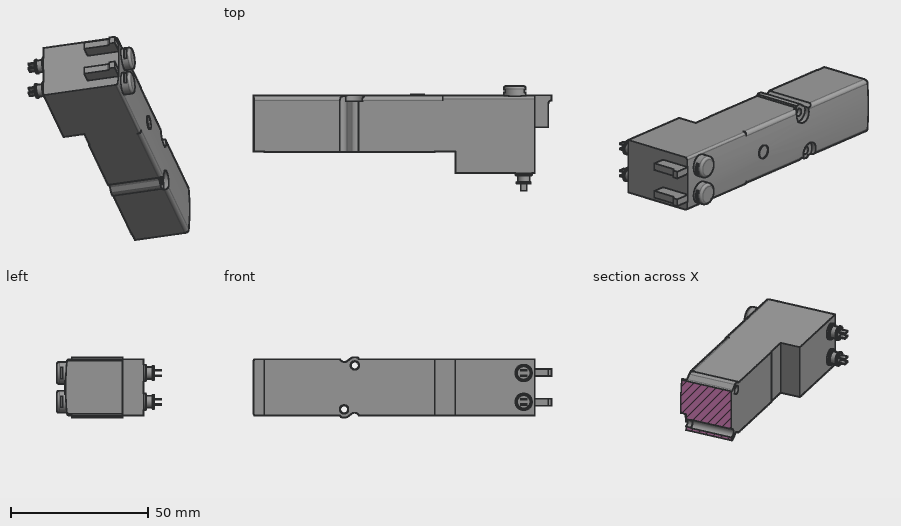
import math

import cadquery as cq


body_length = 102.45
body_height = 20.5
half_height = body_height / 2
front_face_y = 0.2
crown_y = 20.78
crown_drop = 0.5
valve_length = 68.85
valve_rounding = 1.5
foot_rounding = 0.9
end_chamfer_x = 0.35
end_chamfer_z = 0.65

plate_start = 4.0
plate_end = 65.9
foot_start = 73.45
foot_face_y = -7.6

boss_x = 36.9
notch_x = 33.0
boss_center_z = 8.0
boss_radius = 3.05
boss_top_z = 11.045
boss_crest_end = 1.2
boss_half_width = 1.5
notch_floor_z = 9.28
notch_arc_end = 0.9
notch_arc_end_z = 9.45
seat_y = 18.6
seat_diameter = 7.0
screw_hole_diameter = 2.8
screw_relief_diameter = 3.2
seat_thickness = 2.0

connector_x = 98.35
connector_z = 5.25
collar_diameter = 6.1
collar_length = 1.0
collar_chamfer = 0.3
barrel_diameter = 4.5
barrel_end_y = -10.75
rim_diameter = 5.3
rim_end_y = -11.55
rim_chamfer = 0.25
prong_tip_y = -14.09
prong_width = 2.3
prong_thickness = 0.4
prong_spacing = 1.96

fitting_x = 95.1
fitting_diameter = 8.1
fitting_top_y = 24.1
fitting_rounding = 1.0
groove_flat = 3.5
groove_bottom_y = 21.75
groove_top_y = 22.65

pad_x = 59.75
pad_diameter = 5.0
pad_top_y = 21.1

overall_length = 108.5
hook_shank_end = 107.35
hook_front_y = 9.0
hook_barb_y = 18.75
hook_inner_z = 4.07
hook_outer_z = 6.7

overlap = 1.0


def block(x, y, z):
    """Box from (low, high) pairs along each axis."""
    size = (x[1] - x[0], y[1] - y[0], z[1] - z[0])
    return cq.Workplane("XY").box(*size, centered=False).translate((x[0], y[0], z[0]))


def cylinder(x, z, diameter, y_low, y_high):
    """Cylinder along Y."""
    axis_start = cq.Vector(x, y_low, z)
    return cq.Workplane(cq.Solid.makeCylinder(diameter / 2, y_high - y_low, axis_start, cq.Vector(0, 1, 0)))


def arched_bar(x_low, x_high, rounding):
    """Bar along X with an arched back whose two long edges are rounded."""
    edge_y = crown_y - crown_drop
    bar = (
        cq.Workplane("YZ", origin=(x_low, 0, 0))
        .moveTo(front_face_y, -half_height)
        .lineTo(edge_y, -half_height)
        .threePointArc((crown_y, 0), (edge_y, half_height))
        .lineTo(front_face_y, half_height)
        .close()
        .extrude(x_high - x_low)
    )
    back_edges = cq.selectors.BoxSelector(
        (x_low - overlap, edge_y - overlap, -body_height),
        (x_high + overlap, edge_y + overlap, body_height),
    )
    return bar.edges("|X").edges(back_edges).fillet(rounding)


def end_chamfer(side):
    """Wedge that bevels the upper (side=1) or lower (side=-1) edge of the left end."""
    return (
        cq.Workplane("XZ", origin=(0, crown_y + overlap, 0))
        .moveTo(0, side * (half_height - end_chamfer_z))
        .lineTo(0, side * half_height)
        .lineTo(end_chamfer_x, side * half_height)
        .close()
        .extrude(crown_y + 2 * overlap)
    )


def body():
    valve = arched_bar(0, valve_length, valve_rounding)
    base = arched_bar(valve_length, body_length, foot_rounding)
    full_z = (-half_height, half_height)
    plate = block((plate_start, plate_end), (0, front_face_y + overlap), full_z)
    foot = block((foot_start, body_length), (foot_face_y, front_face_y + overlap), full_z)
    shape = valve.union(base).union(plate).union(foot)
    for side in (1, -1):
        shape = shape.cut(end_chamfer(side))
    return shape


def boss_arc_z(offset):
    return boss_center_z + math.sqrt(boss_radius**2 - offset**2)


def notch():
    """Upper notch, from its left end to where its slope leaves the body."""
    slope_start = (notch_x + notch_arc_end, notch_arc_end_z)
    slope_end = (boss_x - boss_crest_end, boss_arc_z(boss_crest_end))
    rise = (slope_end[1] - slope_start[1]) / (slope_end[0] - slope_start[0])
    exit_x = slope_start[0] + (half_height - slope_start[1]) / rise
    return (
        cq.Workplane("XZ", origin=(0, crown_y + overlap, 0))
        .moveTo(notch_x - boss_half_width, half_height)
        .threePointArc((notch_x, notch_floor_z), slope_start)
        .lineTo(exit_x, half_height)
        .close()
        .extrude(crown_y + 2 * overlap)
    )


def boss():
    """Upper boss, sharing the slope of the notch beside it."""
    crest_end_z = boss_arc_z(boss_crest_end)
    return (
        cq.Workplane("XZ", origin=(0, seat_y, 0))
        .moveTo(notch_x + notch_arc_end, notch_arc_end_z)
        .lineTo(boss_x - boss_crest_end, crest_end_z)
        .threePointArc((boss_x, boss_top_z), (boss_x + boss_crest_end, crest_end_z))
        .lineTo(boss_x + boss_half_width, half_height)
        .lineTo(boss_x + boss_half_width, notch_arc_end_z)
        .close()
        .extrude(seat_y)
    )


def mirrored_pair(shape):
    """The shape and its copy half a turn about the axis midway between boss and notch."""
    middle = (boss_x + notch_x) / 2
    return shape, shape.rotate((middle, 0, 0), (middle, 1, 0), 180)


def add_mounting(shape):
    for tool in mirrored_pair(notch()):
        shape = shape.cut(tool)
    for lug in mirrored_pair(boss()):
        shape = shape.union(lug)
    seat = cylinder(boss_x, boss_center_z, seat_diameter, seat_y, crown_y + overlap)
    hole = cylinder(boss_x, boss_center_z, screw_hole_diameter, -overlap, crown_y + overlap)
    relief = cylinder(boss_x, boss_center_z, screw_relief_diameter, -overlap, seat_y - seat_thickness)
    for tool in mirrored_pair(seat) + mirrored_pair(hole) + mirrored_pair(relief):
        shape = shape.cut(tool)
    return shape


def connector(z):
    collar_end_y = foot_face_y - collar_length
    collar = cylinder(connector_x, z, collar_diameter, collar_end_y, foot_face_y + overlap)
    collar = collar.faces("<Y").chamfer(collar_chamfer)
    barrel = cylinder(connector_x, z, barrel_diameter, barrel_end_y, foot_face_y)
    rim = cylinder(connector_x, z, rim_diameter, rim_end_y, barrel_end_y)
    rim = rim.faces("<Y or >Y").chamfer(rim_chamfer)
    shape = collar.union(barrel).union(rim)
    prong_x = (connector_x - prong_width / 2, connector_x + prong_width / 2)
    for side in (1, -1):
        prong_z = z + side * prong_spacing / 2
        z_range = (prong_z - prong_thickness / 2, prong_z + prong_thickness / 2)
        shape = shape.union(block(prong_x, (prong_tip_y, barrel_end_y), z_range))
    return shape


def fitting(z):
    shape = cylinder(fitting_x, z, fitting_diameter, crown_y - 2 * overlap, fitting_top_y)
    shape = shape.faces(">Y").edges().fillet(fitting_rounding)
    for side in (1, -1):
        floor_x = fitting_x + side * groove_flat
        open_x = fitting_x + side * fitting_diameter
        x_range = (min(floor_x, open_x), max(floor_x, open_x))
        z_range = (z - fitting_diameter, z + fitting_diameter)
        shape = shape.cut(block(x_range, (groove_bottom_y, groove_top_y), z_range))
    return shape


def hook(side):
    """Latch hook above (side=1) or below (side=-1) the mid-plane."""
    barb_reach = overall_length - hook_shank_end
    profile = (
        cq.Workplane("XY", origin=(0, 0, hook_inner_z))
        .moveTo(body_length - overlap, hook_front_y)
        .lineTo(hook_shank_end, hook_front_y)
        .lineTo(hook_shank_end, hook_barb_y - barb_reach)
        .tangentArcPoint((barb_reach, barb_reach))
        .lineTo(overall_length, crown_y)
        .lineTo(body_length, crown_y)
        .lineTo(body_length - overlap, hook_barb_y)
        .close()
        .extrude(hook_outer_z - hook_inner_z)
    )
    return profile if side > 0 else profile.mirror("XY")


part = add_mounting(body())
part = part.union(cylinder(pad_x, 0, pad_diameter, crown_y - overlap, pad_top_y))
for side in (1, -1):
    part = part.union(connector(side * connector_z))
    part = part.union(fitting(side * connector_z))
    part = part.union(hook(side))

result = part